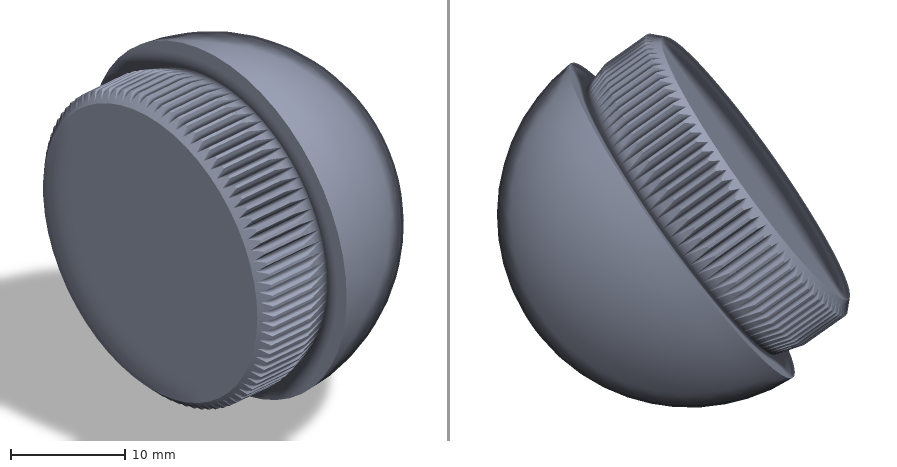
import cadquery as cq
import math

DOME_BASE_RADIUS = 16.85
DOME_HEIGHT = 16.0

TOTAL_DEPTH = 24.0
PLUG_LENGTH = TOTAL_DEPTH - DOME_HEIGHT
TIP_RADIUS = 15.05
LEAD_CHAMFER = 1.0
TAPER_LENGTH = 2.5
TAPER_BASE_RADIUS = 14.32

TOOTH_COUNT = 90
ROOT_RADIUS = TAPER_BASE_RADIUS
TIP_LAND = 0.27
TOOTH_ANGLE = 2 * math.pi / TOOTH_COUNT


def polar(radius, angle):
    """Return the plane coordinates of a point given by radius and angle."""
    return (radius * math.cos(angle), radius * math.sin(angle))


def make_dome():
    """Revolve the cap profile about Y; the base lies in the plane Y = 0."""
    sphere_radius = (DOME_BASE_RADIUS**2 + DOME_HEIGHT**2) / (2 * DOME_HEIGHT)
    center_y = DOME_HEIGHT - sphere_radius
    mid_x, mid_rise = polar(sphere_radius, math.radians(45))
    return (
        cq.Workplane("XY")
        .lineTo(DOME_BASE_RADIUS, 0)
        .threePointArc((mid_x, center_y + mid_rise), (0, DOME_HEIGHT))
        .close()
        .revolve(360, (0, 0, 0), (0, 1, 0))
    )


def make_plug_blank():
    """Revolve the plug without teeth: taper, straight band and end chamfer."""
    return (
        cq.Workplane("XY")
        .lineTo(TAPER_BASE_RADIUS, 0)
        .lineTo(TIP_RADIUS, -TAPER_LENGTH)
        .lineTo(TIP_RADIUS, -PLUG_LENGTH + LEAD_CHAMFER)
        .lineTo(TIP_RADIUS - LEAD_CHAMFER, -PLUG_LENGTH)
        .lineTo(0, -PLUG_LENGTH)
        .close()
        .revolve(360, (0, 0, 0), (0, 1, 0))
    )


def make_knurl_prism():
    """Extrude the toothed outline along the plug; a tooth is centered on +X."""
    half_land_angle = math.asin(TIP_LAND / 2 / TIP_RADIUS)
    corner_radius = TIP_RADIUS / math.cos(half_land_angle)
    outline = []
    for tooth in range(TOOTH_COUNT):
        angle = tooth * TOOTH_ANGLE
        outline.append(polar(corner_radius, angle - half_land_angle))
        outline.append(polar(corner_radius, angle + half_land_angle))
        outline.append(polar(ROOT_RADIUS, angle + TOOTH_ANGLE / 2))
    return cq.Workplane("XZ").polyline(outline).close().extrude(PLUG_LENGTH)


plug = make_plug_blank().intersect(make_knurl_prism())
result = make_dome().union(plug)